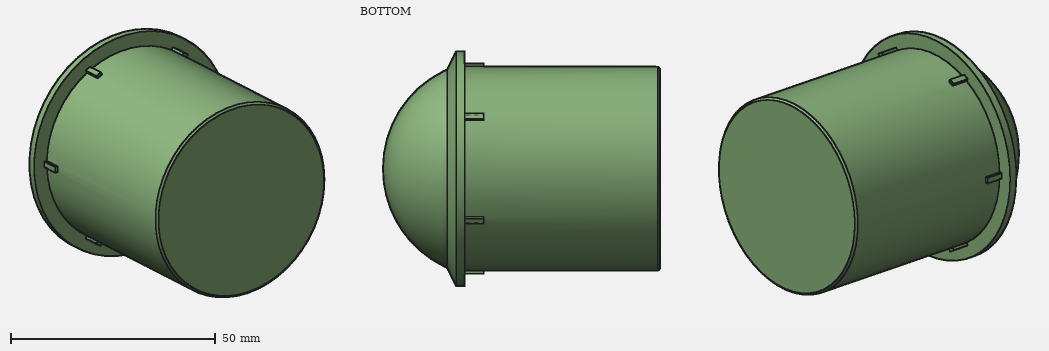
import cadquery as cq
import math

total_length = 67.85
flange_diameter = 57.5
body_diameter = 50.0
end_chamfer = 0.55

dome_end = 14.7
cone_start = 15.75
rim_start = 17.9
flange_back = 20.0

dome_base_radius = 23.8
collar_radius = 24.3

rib_count = 6
rib_length = 4.7
rib_width = 1.5
rib_height = 0.75
rib_embed = 1.35

flange_radius = flange_diameter / 2
body_radius = body_diameter / 2


def revolved_body():
    """Dome, collar, conical flange and cylindrical body as one revolved solid."""
    dome_radius = (dome_end**2 + dome_base_radius**2) / (2 * dome_end)
    mid_angle = math.atan2(dome_base_radius, dome_radius - dome_end) / 2
    dome_middle = (
        dome_radius * (1 - math.cos(mid_angle)),
        dome_radius * math.sin(mid_angle),
    )
    return (
        cq.Workplane("XY")
        .moveTo(0, 0)
        .threePointArc(dome_middle, (dome_end, dome_base_radius))
        .lineTo(cone_start, collar_radius)
        .lineTo(rim_start, flange_radius)
        .lineTo(flange_back, flange_radius)
        .lineTo(flange_back, body_radius)
        .lineTo(total_length - end_chamfer, body_radius)
        .lineTo(total_length, body_radius - end_chamfer)
        .lineTo(total_length, 0)
        .close()
        .revolve(360, (0, 0, 0), (1, 0, 0))
    )


def rib(angle):
    """One rib on the body against the flange, turned about the X axis from +Y."""
    return (
        cq.Workplane("XY")
        .box(rib_length, rib_embed + rib_height, rib_width, centered=(False, False, True))
        .translate((flange_back, body_radius - rib_embed, 0))
        .rotate((0, 0, 0), (1, 0, 0), angle)
    )


result = revolved_body()
for index in range(rib_count):
    result = result.union(rib(index * 360 / rib_count))